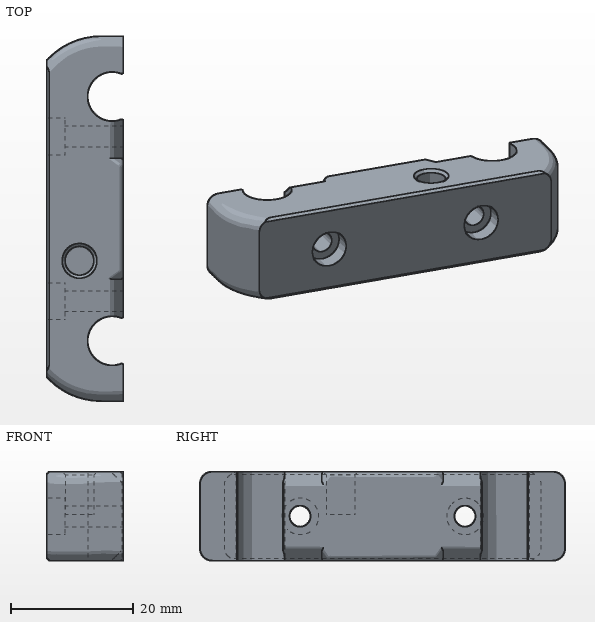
import cadquery as cq
import math

DEPTH = 12.6
LENGTH = 59.8
HEIGHT = 14.6
HALF_LENGTH = LENGTH / 2
HALF_HEIGHT = HEIGHT / 2

END_STRAIGHT = 3.65
END_RADIUS = 12.0
END_ANGLE = math.radians(45)
END_EDGE_FILLET = 2.0
FRONT_CHAMFER = 0.45

ROD_SEAT_RADIUS = 4.0
ROD_SEAT_X = 10.75
ROD_SEAT_Y = 20.0
MOUTH_DEPTH = 0.3
MOUTH_HALF_WIDTH = 3.87

SCREW_Y = 13.5
SCREW_DIAMETER = 3.4
COUNTERBORE_DIAMETER = 6.0
COUNTERBORE_DEPTH = 3.0

INSERT_DIAMETER = 4.7
INSERT_X = 5.4
INSERT_Y = -6.9
INSERT_DEPTH = 7.0
INSERT_CHAMFER = 0.5

BEVEL_SIZE = 2.06
BEVEL_INNER_Y = 9.92
BEVEL_FILLET = 1.78
EDGE_FILLET = 1.0

SIDES = (-1, 1)
TOLERANCE = 0.01


def is_close(value, target):
    return abs(value - target) < TOLERANCE


def is_end_rim_edge(edge):
    """Top and bottom edges of the rounded ends."""
    center = edge.Center()
    on_top_or_bottom = is_close(abs(center.z), HALF_HEIGHT)
    between_faces = TOLERANCE < center.x < DEPTH - TOLERANCE
    return on_top_or_bottom and between_faces


def make_body():
    """Plan outline extruded over the height, with its end rims rounded."""
    arc_start_x = DEPTH - END_STRAIGHT
    arc_center_y = HALF_LENGTH - END_RADIUS
    arc_end_x = arc_start_x - END_RADIUS * math.sin(END_ANGLE)
    arc_end_y = arc_center_y + END_RADIUS * math.cos(END_ANGLE)
    arc_middle_x = arc_start_x - END_RADIUS * math.sin(END_ANGLE / 2)
    arc_middle_y = arc_center_y + END_RADIUS * math.cos(END_ANGLE / 2)
    front_y = arc_end_y - arc_end_x * math.tan(END_ANGLE)
    block = (
        cq.Workplane("XY", origin=(0, 0, -HALF_HEIGHT))
        .moveTo(DEPTH, HALF_LENGTH)
        .lineTo(arc_start_x, HALF_LENGTH)
        .threePointArc((arc_middle_x, arc_middle_y), (arc_end_x, arc_end_y))
        .lineTo(0, front_y)
        .lineTo(0, -front_y)
        .lineTo(arc_end_x, -arc_end_y)
        .threePointArc((arc_middle_x, -arc_middle_y), (arc_start_x, -HALF_LENGTH))
        .lineTo(DEPTH, -HALF_LENGTH)
        .close()
        .extrude(HEIGHT)
    )
    return block.edges().filter(is_end_rim_edge).fillet(END_EDGE_FILLET)


def front_chamfer_cutter(z_side):
    """Triangular bar that chamfers the top or bottom edge of the -X face."""
    corner_z = z_side * HALF_HEIGHT
    return (
        cq.Workplane("XZ", origin=(0, HALF_LENGTH, 0))
        .moveTo(0, corner_z)
        .lineTo(FRONT_CHAMFER, corner_z)
        .lineTo(0, corner_z - z_side * FRONT_CHAMFER)
        .close()
        .extrude(LENGTH)
    )


def bevel_cutter(y_side, z_side):
    """Cutter for one bevel: a trapezoid square to the bevel, with a 45 degree inner end."""
    bevel_depth = BEVEL_SIZE * math.sin(math.radians(45))
    profile_plane = cq.Plane(
        origin=(DEPTH, 0, z_side * HALF_HEIGHT),
        xDir=(0, y_side, 0),
        normal=(1, 0, -z_side),
    )
    outward = math.copysign(bevel_depth, profile_plane.yDir.x)
    return (
        cq.Workplane(profile_plane)
        .moveTo(BEVEL_INNER_Y, -outward)
        .lineTo(ROD_SEAT_Y, -outward)
        .lineTo(ROD_SEAT_Y, outward)
        .lineTo(BEVEL_INNER_Y - 2 * bevel_depth, outward)
        .close()
        .extrude(2 * BEVEL_SIZE, both=True)
    )


def is_bevel_top_edge(edge):
    """Long edges where the bevels meet the top and bottom faces."""
    center = edge.Center()
    on_top_or_bottom = is_close(abs(center.z), HALF_HEIGHT)
    return on_top_or_bottom and is_close(center.x, DEPTH - BEVEL_SIZE)


def is_back_edge(edge):
    """Edges of the +X face at the bevels and between them, and the rims of the bevel ends."""
    center = edge.Center()
    y = abs(center.y)
    z = abs(center.z)
    on_back_face = is_close(center.x, DEPTH)
    on_middle_stretch = on_back_face and y < BEVEL_INNER_Y and z > HALF_HEIGHT - BEVEL_SIZE - TOLERANCE
    below_bevel = on_back_face and y < ROD_SEAT_Y and is_close(z, HALF_HEIGHT - BEVEL_SIZE)
    within_bevel_width = DEPTH - BEVEL_SIZE + TOLERANCE < center.x < DEPTH - TOLERANCE
    on_bevel_end = within_bevel_width and y < BEVEL_INNER_Y and is_close(z, HALF_HEIGHT)
    return on_middle_stretch or below_bevel or on_bevel_end


def rod_seat_cutter(y):
    """Cylinder of a rod seat together with its flared mouth in the +X face."""
    mouth_start_x = DEPTH - MOUTH_DEPTH
    throat_half_width = math.sqrt(ROD_SEAT_RADIUS**2 - (mouth_start_x - ROD_SEAT_X) ** 2)
    base = cq.Workplane("XY", origin=(0, y, -HALF_HEIGHT))
    mouth = (
        base.moveTo(mouth_start_x, -throat_half_width)
        .lineTo(DEPTH, -MOUTH_HALF_WIDTH)
        .lineTo(DEPTH, MOUTH_HALF_WIDTH)
        .lineTo(mouth_start_x, throat_half_width)
        .close()
        .extrude(HEIGHT)
    )
    seat = base.center(ROD_SEAT_X, 0).circle(ROD_SEAT_RADIUS).extrude(HEIGHT)
    return seat.union(mouth)


def screw_hole_cutter(y):
    """Through hole along X with a counterbore from the -X face."""
    front = cq.Workplane("YZ", origin=(0, y, 0))
    shank = front.circle(SCREW_DIAMETER / 2).extrude(DEPTH)
    head = front.circle(COUNTERBORE_DIAMETER / 2).extrude(COUNTERBORE_DEPTH)
    return shank.union(head)


def insert_hole_cutter():
    """Blind hole from the top face with a chamfered mouth."""
    radius = INSERT_DIAMETER / 2
    return (
        cq.Workplane("XZ", origin=(INSERT_X, INSERT_Y, HALF_HEIGHT))
        .moveTo(0, 0)
        .lineTo(radius + INSERT_CHAMFER, 0)
        .lineTo(radius, -INSERT_CHAMFER)
        .lineTo(radius, -INSERT_DEPTH)
        .lineTo(0, -INSERT_DEPTH)
        .close()
        .revolve(360, (0, 0), (0, 1))
    )


part = make_body()

for z_side in SIDES:
    part = part.cut(front_chamfer_cutter(z_side))
    for y_side in SIDES:
        part = part.cut(bevel_cutter(y_side, z_side))

part = part.edges().filter(is_bevel_top_edge).fillet(BEVEL_FILLET)
part = part.edges().filter(is_back_edge).fillet(EDGE_FILLET)

for y_side in SIDES:
    part = part.cut(rod_seat_cutter(y_side * ROD_SEAT_Y))
    part = part.cut(screw_hole_cutter(y_side * SCREW_Y))

part = part.cut(insert_hole_cutter())

result = part